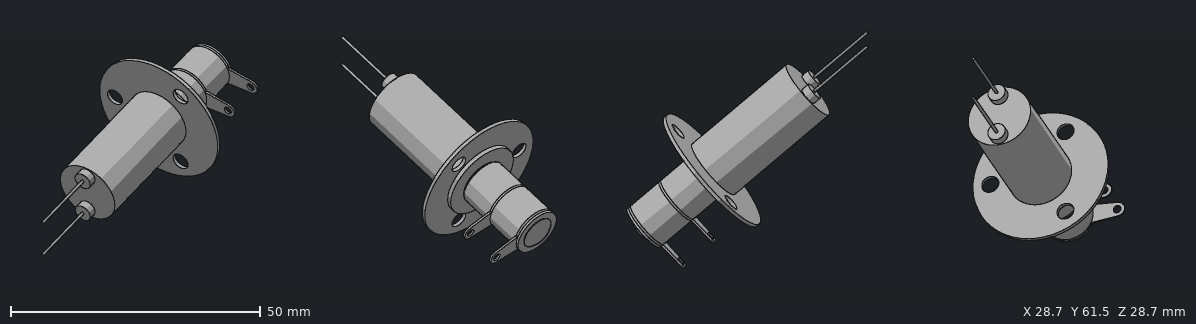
import cadquery as cq
import math


flange_radius = 14.36
flange_thickness = 0.8
collar_radius = 8.3
collar_thickness = 0.9
neck_radius = 4.85
neck_length = 0.3
rear_radius = 6.65
rear_length = 25.35

mount_hole_radius = 1.8
mount_circle_radius = 10.65
mount_hole_count = 3

barrel_radius = 5.1
front_sleeve_length = 7.6
spacer_length = 7.55
cap_length = 0.55
shoulder_height = 0.1
dome_radius = 3.55
dome_height = 1.2

lug_thickness = 0.5
lug_reach = 11.8
lug_tip_radius = 1.6
lug_root_half_width = 2.1
lug_hole_radius = 0.8

lead_offset = 4.55
bead_radius = 1.85
bead_length = 1.7
wire_radius = 0.3
overall_length = 61.5

collar_front = flange_thickness + collar_thickness
neck_front = collar_front + neck_length
inner_lug_start = neck_front + front_sleeve_length
spacer_start = inner_lug_start + lug_thickness
outer_lug_start = spacer_start + spacer_length
cap_start = outer_lug_start + lug_thickness
cap_front = cap_start + cap_length
dome_base = cap_front + shoulder_height
dome_tip = dome_base + dome_height
wire_end = dome_tip - overall_length


def cylinder(radius, start, length, x=0, z=0):
    """Cylinder along +Y from y = start, centred on (x, z)."""
    return cq.Workplane(cq.Solid.makeCylinder(radius, length, cq.Vector(x, start, z), cq.Vector(0, 1, 0)))


def make_housing():
    """Rear tube, flange, collar, neck and front sleeve, with the mounting holes."""
    housing = cylinder(rear_radius, -rear_length, rear_length)
    housing = housing.union(cylinder(flange_radius, 0, flange_thickness))
    housing = housing.union(cylinder(collar_radius, flange_thickness, collar_thickness))
    housing = housing.union(cylinder(neck_radius, collar_front, neck_length))
    housing = housing.union(cylinder(barrel_radius, neck_front, front_sleeve_length))
    for index in range(mount_hole_count):
        angle = math.pi + index * 2 * math.pi / mount_hole_count
        x = mount_circle_radius * math.cos(angle)
        z = mount_circle_radius * math.sin(angle)
        housing = housing.cut(cylinder(mount_hole_radius, 0, flange_thickness, x, z))
    return housing


def make_lug(start):
    """Disc with a tapered tab toward +X, rounded and drilled at its tip."""
    tip_x = lug_reach - lug_tip_radius
    root_x = math.sqrt(barrel_radius**2 - lug_root_half_width**2)
    rise = lug_root_half_width
    run = tip_x - root_x
    taper = math.asin(lug_tip_radius / math.hypot(run, rise)) - math.atan2(rise, run)
    tangent_x = tip_x - lug_tip_radius * math.sin(taper)
    tangent_z = lug_tip_radius * math.cos(taper)
    tab = (
        cq.Workplane("XZ", origin=(0, start, 0))
        .moveTo(0, -lug_root_half_width)
        .lineTo(root_x, -lug_root_half_width)
        .lineTo(tangent_x, -tangent_z)
        .threePointArc((lug_reach, 0), (tangent_x, tangent_z))
        .lineTo(root_x, lug_root_half_width)
        .lineTo(0, lug_root_half_width)
        .close()
        .extrude(-lug_thickness)
    )
    lug = cylinder(barrel_radius, start, lug_thickness).union(tab)
    return lug.cut(cylinder(lug_hole_radius, start, lug_thickness, tip_x))


def make_spacer():
    """Plain cylinder between the two lugs."""
    return cylinder(barrel_radius, spacer_start, spacer_length)


def make_contact():
    """Thin cap with a low shoulder and a spherical dome, revolved about Y."""
    sphere_radius = (dome_radius**2 + dome_height**2) / (2 * dome_height)
    half_angle = math.asin(dome_radius / sphere_radius) / 2
    arc_middle = (
        sphere_radius * math.sin(half_angle),
        dome_tip - sphere_radius * (1 - math.cos(half_angle)),
    )
    return (
        cq.Workplane("XY")
        .moveTo(0, cap_start)
        .lineTo(barrel_radius, cap_start)
        .lineTo(barrel_radius, cap_front)
        .lineTo(dome_radius, cap_front)
        .lineTo(dome_radius, dome_base)
        .threePointArc(arc_middle, (0, dome_tip))
        .close()
        .revolve(360, (0, 0, 0), (0, 1, 0))
    )


def make_lead(z):
    """Round bead on the rear face of the housing with a thin wire behind it."""
    bead_rear = -rear_length - bead_length
    bead = cylinder(bead_radius, bead_rear, bead_length, z=z)
    wire = cylinder(wire_radius, wire_end, bead_rear - wire_end, z=z)
    return bead.union(wire)


housing = make_housing()
lugs = [make_lug(start) for start in (inner_lug_start, outer_lug_start)]
spacer = make_spacer()
contact = make_contact()
leads = [make_lead(z) for z in (-lead_offset, lead_offset)]

result = cq.Compound.makeCompound(
    [
        housing.val(),
        *[lug.val() for lug in lugs],
        spacer.val(),
        contact.val(),
        *[lead.val() for lead in leads],
    ]
)